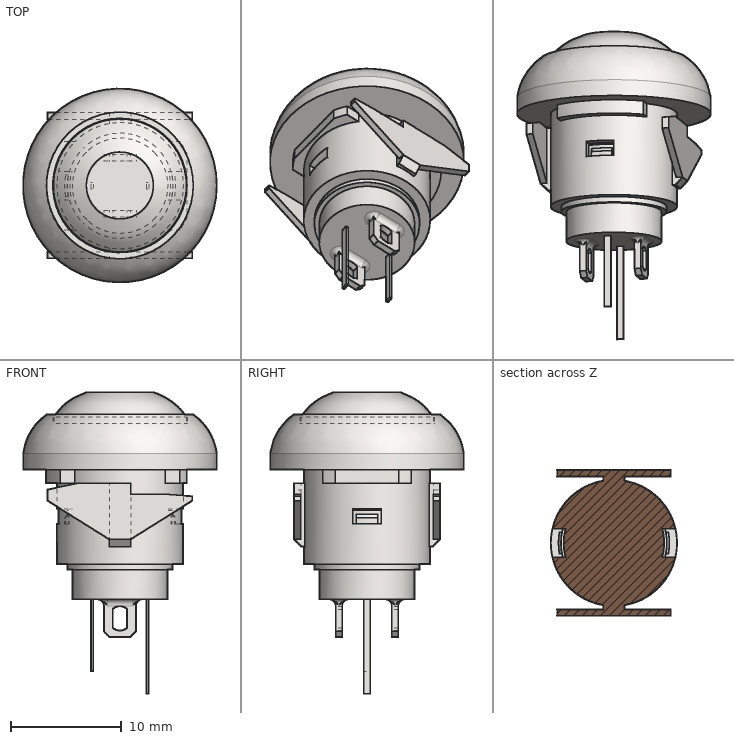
import cadquery as cq
import math


cap_d = 17.5
cap_edge_h = 1.47
dome_mid_r, dome_mid_z = 8.05, 3.43
rim_d, rim_z = 13.22, 4.98
well_d, well_depth = 12.1, 0.82
button_d = 12.0
button_edge_z = 4.8
crown_mid_r, crown_mid_z = 4.7, 6.12
crown_d, crown_z = 6.05, 7.0

barrel_d, barrel_bottom = 11.4, -8.5
step_d, step_bottom = 9.5, -9.0
base_d, base_bottom = 8.6, -11.7

key_r, key_w, key_h = 6.7, 7.97, 1.22
right_key_reach = 6.05

window_w, window_top, window_bottom = 2.55, -3.5, -4.9
window_back_d = 9.55
tooth_d, tooth_w = 10.0, 1.9
tooth_top, tooth_ramp_bottom = -4.03, -4.35
ledge_top, ledge_back_d = -3.67, 9.08

clip_outer_y, clip_t = 6.58, 0.6
arm_w, arm_top, arm_bottom = 1.93, -1.22, -6.94
foot_chamfer = 0.65
plate_bottom = arm_bottom + foot_chamfer
wing_reach, wing_bottom = 6.53, -2.8
left_wing_top, left_shoulder_x = -1.8, -3.78
right_wing_root_top, right_wing_tip_top = -2.2, -2.4
right_wing_bend_x, right_wing_bend_top = 4.35, -2.23
arm_root_y = -4.9

terminal_w, terminal_t, terminal_y = 2.9, 0.6, 2.53
terminal_bottom, terminal_chamfer = -15.1, 0.52
eye_w, eye_top, eye_bottom, eye_rise = 1.28, -12.32, -14.5, 0.25
collar_fillet = 0.57

pin_x, pin_t, pin_w = 2.5, 0.22, 0.6
left_pin_bottom, right_pin_bottom = -18.17, -20.2


def disc(diameter, bottom, top):
    return cq.Workplane("XY").workplane(offset=bottom).circle(diameter / 2).extrude(top - bottom)


def block(x0, x1, y0, y1, z0, z1):
    return cq.Workplane("XY").box(x1 - x0, y1 - y0, z1 - z0, centered=False).translate((x0, y0, z0))


def make_head_and_barrel():
    """Revolve the domed cap, the crowned button in its well and the stepped barrel."""
    well_bottom = rim_z - well_depth
    profile = (
        cq.Workplane("XZ")
        .moveTo(0, base_bottom)
        .lineTo(base_d / 2, base_bottom)
        .lineTo(base_d / 2, step_bottom)
        .lineTo(step_d / 2, step_bottom)
        .lineTo(step_d / 2, barrel_bottom)
        .lineTo(barrel_d / 2, barrel_bottom)
        .lineTo(barrel_d / 2, 0)
        .lineTo(cap_d / 2, 0)
        .lineTo(cap_d / 2, cap_edge_h)
        .threePointArc((dome_mid_r, dome_mid_z), (rim_d / 2, rim_z))
        .lineTo(well_d / 2, rim_z)
        .lineTo(well_d / 2, well_bottom)
        .lineTo(button_d / 2, well_bottom)
        .lineTo(button_d / 2, button_edge_z)
        .threePointArc((crown_mid_r, crown_mid_z), (crown_d / 2, crown_z))
        .lineTo(0, crown_z)
        .close()
    )
    return profile.revolve(360, (0, 0, 0), (0, 1, 0))


def make_keys():
    """Keys on both sides; the left one has a round end, the right one is cut off flat."""
    bar = block(-key_r, right_key_reach, -key_w / 2, key_w / 2, -key_h, 0)
    return disc(2 * key_r, -key_h, 0).intersect(bar)


def make_snap_window(side):
    """Opening through the barrel wall, deeper above the inner ledge, with a tooth standing in it."""
    near, far = sorted((0, side * barrel_d / 2))
    opening = block(near, far, -window_w / 2, window_w / 2, window_bottom, window_top)
    opening = opening.cut(disc(window_back_d, window_bottom, ledge_top))
    opening = opening.cut(disc(ledge_back_d, ledge_top, window_top))

    tooth_profile = (
        cq.Workplane("XZ")
        .moveTo(0, window_bottom)
        .lineTo(tooth_d / 2, window_bottom)
        .lineTo(tooth_d / 2, tooth_ramp_bottom)
        .lineTo(window_back_d / 2, tooth_top)
        .lineTo(0, tooth_top)
        .close()
    )
    tooth = tooth_profile.revolve(360, (0, 0, 0), (0, 1, 0))
    tooth_span = block(near, far, -tooth_w / 2, tooth_w / 2, window_bottom, tooth_top)
    return opening.cut(tooth.intersect(tooth_span))


def make_front_clip():
    """Winged plate on a narrow arm with a chamfered foot."""
    plate = (
        cq.Workplane("XZ", origin=(0, clip_t - clip_outer_y, 0))
        .moveTo(-arm_w / 2, plate_bottom)
        .lineTo(-wing_reach, wing_bottom)
        .lineTo(-wing_reach, left_wing_top)
        .lineTo(left_shoulder_x, arm_top)
        .lineTo(arm_w / 2, arm_top)
        .lineTo(arm_w / 2, right_wing_root_top)
        .lineTo(right_wing_bend_x, right_wing_bend_top)
        .lineTo(wing_reach, right_wing_tip_top)
        .lineTo(wing_reach, wing_bottom)
        .lineTo(arm_w / 2, plate_bottom)
        .close()
        .extrude(clip_t)
    )
    arm = (
        cq.Workplane("YZ")
        .moveTo(arm_root_y, arm_top)
        .lineTo(-clip_outer_y, arm_top)
        .lineTo(-clip_outer_y, plate_bottom)
        .lineTo(-clip_outer_y + foot_chamfer, arm_bottom)
        .lineTo(arm_root_y, arm_bottom)
        .close()
        .extrude(arm_w / 2, both=True)
    )
    return plate.union(arm)


def half_collar_section():
    """Half section across the collar, from its middle out to the concave fillet."""
    neck = terminal_t / 2
    fillet_dip = collar_fillet * (1 - math.sqrt(0.5))
    return (
        cq.Workplane("YZ")
        .moveTo(0, base_bottom)
        .lineTo(neck + collar_fillet, base_bottom)
        .threePointArc(
            (neck + fillet_dip, base_bottom - fillet_dip),
            (neck, base_bottom - collar_fillet),
        )
        .lineTo(0, base_bottom - collar_fillet)
        .close()
    )


def make_terminal_collar():
    """Obround collar around the tag that flares into the base with a concave fillet."""
    end_x = (terminal_w - terminal_t) / 2
    half_bar = half_collar_section().extrude(end_x, both=True)
    round_end = half_collar_section().revolve(360, (0, 0, 0), (0, 1, 0))
    collar = half_bar.union(half_bar.mirror("XZ"))
    for x in (-end_x, end_x):
        collar = collar.union(round_end.translate((x, 0, 0)))
    return collar


def make_front_terminal():
    """Flat solder tag with an eye, leaving the base through a flared collar."""
    tag = block(
        -terminal_w / 2, terminal_w / 2, -terminal_t / 2, terminal_t / 2, terminal_bottom, base_bottom
    )
    tag = tag.faces("<Z").edges("|Y").chamfer(terminal_chamfer)
    eye = (
        cq.Workplane("XZ")
        .moveTo(-eye_w / 2, eye_top - eye_rise)
        .threePointArc((0, eye_top), (eye_w / 2, eye_top - eye_rise))
        .lineTo(eye_w / 2, eye_bottom + eye_rise)
        .threePointArc((0, eye_bottom), (-eye_w / 2, eye_bottom + eye_rise))
        .close()
        .extrude(terminal_t, both=True)
    )
    return tag.cut(eye).union(make_terminal_collar()).translate((0, -terminal_y, 0))


def make_pin(x, bottom):
    return block(x - pin_t / 2, x + pin_t / 2, -pin_w / 2, pin_w / 2, bottom, base_bottom)


result = make_head_and_barrel().union(make_keys())
for side in (-1, 1):
    result = result.cut(make_snap_window(side))
for front_piece in (make_front_clip(), make_front_terminal()):
    back_piece = front_piece.mirror("XZ")
    result = result.union(front_piece).union(back_piece)
result = result.union(make_pin(-pin_x, left_pin_bottom))
result = result.union(make_pin(pin_x, right_pin_bottom))